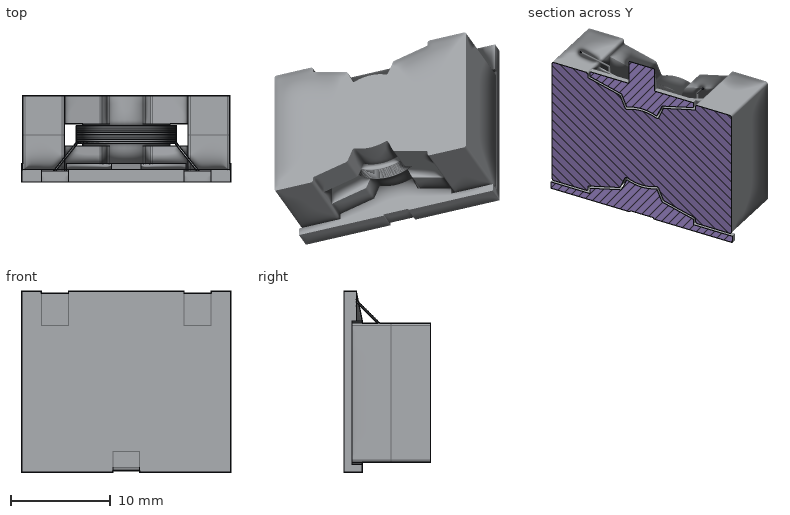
import cadquery as cq
import math

plate_width = 21.0
plate_height = 18.2
wing_thickness = 1.25
cradle_thickness = 1.85
pocket_floor = 0.8
pocket_clearance = 0.2
gusset_half_width = 1.5

terminal_width = 2.7
terminal_depth = 1.1
upper_terminal_x = 7.17
upper_terminal_height = 3.22
upper_terminal_setback = 0.2
lead_groove_height = 1.5
lower_terminal_height = 1.97
lower_terminal_setback = 0.15
lower_terminal_round = 0.35

core_width = 20.8
core_height = 14.0
core_depth = 7.9
core_z = 8.0
leg_inner_x = 6.2
window_depth = 2.2
post_radius = 4.4
slope_outer_height = 6.42
slope_inner_x = 2.5
slope_inner_height = 5.47
notch_foot_x = 1.85
leg_round = 0.25
slope_round = 0.3
slope_foot_round = 0.15
notch_foot_round = 0.2

wire_diameter = 0.18
turns = 10
layers = 4
winding_back_gap = 0.15
lead_bend_x = 5.1
lead_bend_z = 14.73
lead_end_x = 7.22
lead_end_z = 17.36

half_depth = core_depth / 2
flange_depth = (core_depth - window_depth) / 2
notch_foot_height = math.sqrt(post_radius**2 - notch_foot_x**2)
core_mid_y = pocket_floor + half_depth
core_back_y = pocket_floor + core_depth
cradle_top = core_z + core_height / 2 + pocket_clearance
wire_radius = wire_diameter / 2


def core_quarter(start_y, depth):
    """Quarter of the core outline with sharp corners, running from start_y toward +Y."""
    half_width = core_width / 2
    half_height = core_height / 2
    return (
        cq.Workplane("XZ", origin=(0, start_y, core_z))
        .polyline([
            (0, 0),
            (half_width, 0),
            (half_width, half_height),
            (leg_inner_x, half_height),
            (leg_inner_x, slope_outer_height),
            (slope_inner_x, slope_inner_height),
            (notch_foot_x, notch_foot_height),
            (0, notch_foot_height),
        ])
        .close()
        .extrude(-depth)
    )


def round_corner(body, x, height, start_y, depth, radius):
    """Round the edge along Y that passes through a corner of the core outline."""
    middle = (x, start_y + depth / 2, core_z + height)
    return body.edges("|Y").edges(cq.NearestToPointSelector(middle)).fillet(radius)


def core_post(start_y, depth):
    return cq.Workplane("XZ", origin=(0, start_y, core_z)).circle(post_radius).extrude(-depth)


def mirror_quarter(quarter, start_y, depth):
    """Whole core outline from its quarter, with the post showing at the foot of the notches."""
    upper = quarter.union(quarter.mirror("YZ"))
    whole = upper.union(upper.mirror("XY", (0, 0, core_z)))
    return whole.union(core_post(start_y, depth))


def make_core_half():
    size = (pocket_floor, half_depth)
    quarter = core_quarter(*size)
    rounded_corners = [
        (core_width / 2, core_height / 2, leg_round),
        (leg_inner_x, core_height / 2, leg_round),
        (leg_inner_x, slope_outer_height, slope_foot_round),
        (slope_inner_x, slope_inner_height, slope_round),
    ]
    for x, height, radius in rounded_corners:
        quarter = round_corner(quarter, x, height, *size, radius)
    half = mirror_quarter(quarter, *size)
    for x in (-notch_foot_x, notch_foot_x):
        for height in (-notch_foot_height, notch_foot_height):
            half = round_corner(half, x, height, *size, notch_foot_round)
    window = cq.Workplane("XY").box(2 * leg_inner_x, window_depth, core_height)
    window = window.translate((0, core_mid_y, core_z))
    return half.cut(window.cut(core_post(pocket_floor, core_depth)))


def make_core():
    front_half = make_core_half()
    back_half = front_half.mirror("XZ", (0, core_mid_y, 0))
    return front_half.union(back_half, clean=False)


def plate_block(x, bottom_z, height, front_y, back_y):
    """Block one terminal wide, between two depths of the plate."""
    return cq.Workplane("XY", origin=(x, (front_y + back_y) / 2, bottom_z)).box(
        terminal_width, back_y - front_y, height, centered=(True, True, False)
    )


def make_plate():
    plate = (
        cq.Workplane("YZ", origin=(-plate_width / 2, 0, 0))
        .polyline([
            (0, 0),
            (cradle_thickness, 0),
            (cradle_thickness, cradle_top),
            (wing_thickness, cradle_top),
            (wing_thickness, plate_height),
            (0, plate_height),
        ])
        .close()
        .extrude(plate_width)
    )
    gusset = (
        cq.Workplane("YZ", origin=(-gusset_half_width, 0, 0))
        .polyline([
            (wing_thickness, cradle_top),
            (cradle_thickness, cradle_top),
            (wing_thickness, plate_height),
        ])
        .close()
        .extrude(2 * gusset_half_width)
    )
    plate = plate.union(gusset)

    terminals = []
    upper_top = plate_height - upper_terminal_setback
    upper_bottom = upper_top - upper_terminal_height
    for side in (-1, 1):
        x = side * upper_terminal_x
        notch = plate_block(x, upper_top, upper_terminal_setback, 0, wing_thickness)
        lead_groove = plate_block(
            x, plate_height - lead_groove_height, lead_groove_height, terminal_depth, wing_thickness
        )
        plate = plate.cut(notch).cut(lead_groove)
        terminals.append(plate_block(x, upper_bottom, upper_terminal_height, 0, terminal_depth))

    lower = plate_block(0, lower_terminal_setback, lower_terminal_height, 0, terminal_depth)
    lower_notch = plate_block(0, 0, lower_terminal_setback, 0, cradle_thickness)
    plate = plate.cut(lower_notch).cut(lower)
    terminals.append(lower.edges("<Y and <Z").fillet(lower_terminal_round))

    for terminal in terminals:
        plate = plate.cut(terminal, clean=False).union(terminal, clean=False)

    sharp_core = mirror_quarter(core_quarter(pocket_floor, core_depth), pocket_floor, core_depth)
    pocket = (
        sharp_core
        .faces("<Y")
        .wires()
        .toPending()
        .offset2D(pocket_clearance, "intersection")
        .extrude(-core_depth, combine=False)
    )
    return plate.cut(pocket, clean=False)


def make_winding():
    layer_pitch = wire_diameter * math.sqrt(3) / 2
    outer_radius = post_radius + wire_diameter + (layers - 1) * layer_pitch
    back_y = core_back_y - flange_depth - winding_back_gap
    front_y = back_y - turns * wire_diameter
    groove_radius = outer_radius - wire_radius

    section = cq.Workplane("XY", origin=(0, 0, core_z)).moveTo(post_radius, front_y)
    section = section.lineTo(groove_radius, front_y)
    for turn in range(turns):
        turn_y = front_y + turn * wire_diameter
        section = section.threePointArc(
            (outer_radius, turn_y + wire_radius),
            (groove_radius, turn_y + wire_diameter),
        )
    winding = section.lineTo(post_radius, back_y).close().revolve(360, (0, 0, 0), (0, 1, 0))

    first_turn_y = front_y + wire_radius
    bend_y = pocket_floor + flange_depth + wire_radius
    for side in (-1, 1):
        start = cq.Vector(side * groove_radius, first_turn_y, core_z)
        bend = cq.Vector(side * lead_bend_x, bend_y, lead_bend_z)
        end = cq.Vector(side * lead_end_x, terminal_depth, lead_end_z)
        for tail, head in ((start, bend), (bend, end)):
            run = head - tail
            straight = cq.Solid.makeCylinder(wire_radius, run.Length, tail, run)
            winding = winding.union(cq.Workplane(straight))
        winding = winding.union(cq.Workplane("XY").sphere(wire_radius).translate(bend))
    return winding


plate = make_plate()
core = make_core()
winding = make_winding().cut(plate)

result = cq.Compound.makeCompound([plate.solids().val(), core.solids().val(), winding.solids().val()])